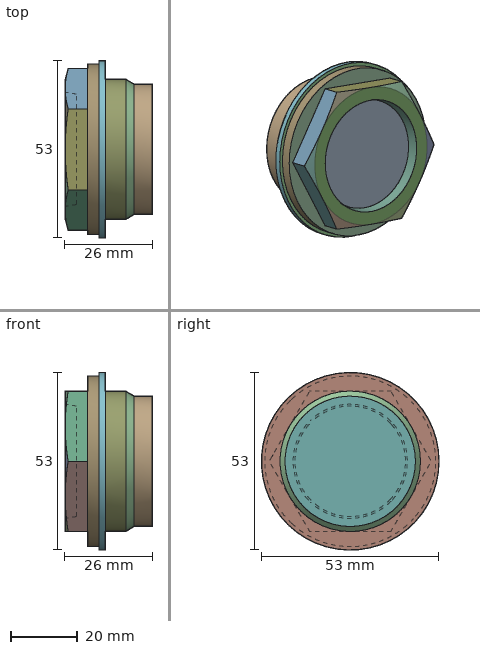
import cadquery as cq
import math

hex_sides = 6
hex_across_flats = 41.91
hex_height = 6.65
hex_chamfer_angle = 15.0

collar_diameter = 51.0
collar_length = 3.36
flange_diameter = 53.04
flange_length = 1.95
body_diameter = 41.91
body_length = 6.1
taper_length = 2.53
nose_diameter = 38.9
total_length = 26.01

recess_mouth_diameter = 34.1
recess_floor_diameter = 33.0
recess_depth = 3.3

collar_start = hex_height
flange_start = collar_start + collar_length
body_start = flange_start + flange_length
taper_start = body_start + body_length
nose_start = taper_start + taper_length


def revolve_about_x(points):
    """Solid of revolution about X from (x, radius) points, closed along the axis."""
    return cq.Workplane("XY").polyline(points).close().revolve(360, (0, 0, 0), (1, 0, 0))


def make_hex_head():
    """Hexagonal prism whose outer corners are trimmed by a shallow cone."""
    across_corners = hex_across_flats / math.cos(math.pi / hex_sides)
    prism = cq.Workplane("YZ").polygon(hex_sides, across_corners).extrude(hex_height)

    face_radius = hex_across_flats / 2
    envelope_radius = flange_diameter / 2
    cone_length = (envelope_radius - face_radius) * math.tan(math.radians(hex_chamfer_angle))
    envelope = revolve_about_x([
        (0, 0),
        (0, face_radius),
        (cone_length, envelope_radius),
        (hex_height, envelope_radius),
        (hex_height, 0),
    ])
    return prism.intersect(envelope)


def make_round_body():
    """Collar, flange, body, taper and nose as one stepped turned profile."""
    collar_radius = collar_diameter / 2
    flange_radius = flange_diameter / 2
    body_radius = body_diameter / 2
    nose_radius = nose_diameter / 2
    return revolve_about_x([
        (collar_start, 0),
        (collar_start, collar_radius),
        (flange_start, collar_radius),
        (flange_start, flange_radius),
        (body_start, flange_radius),
        (body_start, body_radius),
        (taper_start, body_radius),
        (nose_start, nose_radius),
        (total_length, nose_radius),
        (total_length, 0),
    ])


def make_recess():
    """Shallow conical pocket that narrows towards its flat floor."""
    return revolve_about_x([
        (0, 0),
        (0, recess_mouth_diameter / 2),
        (recess_depth, recess_floor_diameter / 2),
        (recess_depth, 0),
    ])


result = make_hex_head().union(make_round_body()).cut(make_recess())